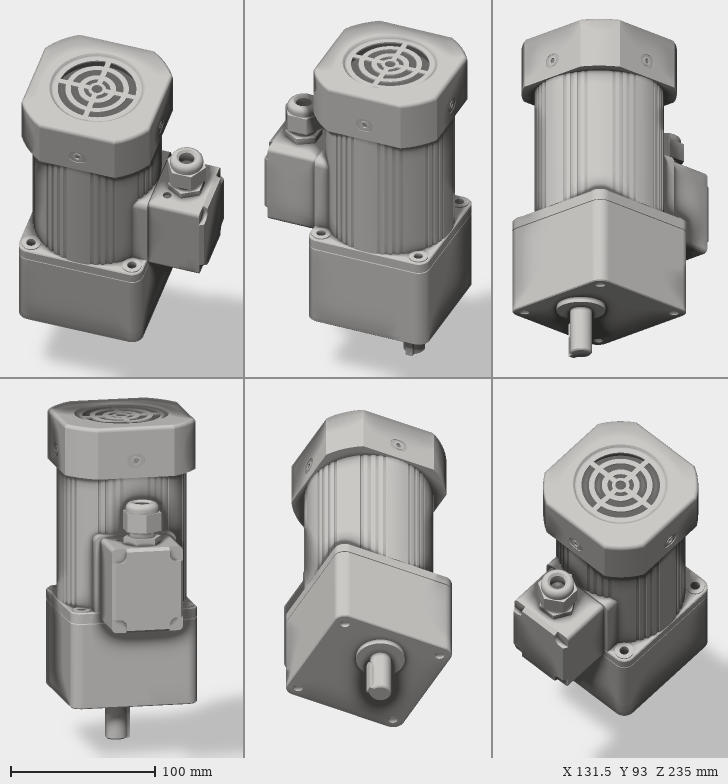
import cadquery as cq
import math


boss_bottom = 32.0
gearbox_bottom = 35.7
gearbox_top = 96.5
flange_top = 104.0
cover_bottom = 199.0
cover_top = 235.0

frame_width = 90.0
frame_corner_radius = 8.0
frame_chamfer = 0.7
bolt_offset = 36.7
bolt_hole_diameter = 6.5

shaft_x = -18.0
shaft_radius = 7.5
shaft_chamfer = 1.0
shaft_bore_depth = 11.8
boss_radius = 17.0
key_length = 25.4
key_width = 5.2
key_outer_y = 9.6

motor_radius = frame_width / 2
groove_clusters = 8
grooves_per_cluster = 4
groove_pitch_angle = 6.7
groove_width = 2.4
groove_depth = 0.7
pad_radius = 6.5
pad_height = 1.0
saddle_width = 57.3
saddle_top = 158.6
saddle_end_x = motor_radius
saddle_edge_radius = 5.0

cover_width = 93.0
cover_flat_width = 54.5
cover_edge_radius = 2.8
grille_radius = 31.7
grille_depth = 1.5
grille_thickness = 1.2
fan_chamber_radius = 30.5
fan_chamber_depth = 7.5
slot_rings = [(6.0, 9.2), (13.2, 18.3), (22.0, 27.3)]
spoke_width = 3.8
hub_hole_radius = 3.8

screw_z = 211.0
screw_pocket_length = 12.7
screw_pocket_width = 9.9
screw_pocket_depth = 0.5
screw_head_diameter = 6.8
screw_socket_size = 4.2
screw_socket_depth = 1.5

box_width = 50.3
box_bottom = 97.3
box_top = 157.0
box_height = box_top - box_bottom
box_middle_z = (box_top + box_bottom) / 2
box_edge_radius = 3.0
lid_inner_x = 81.8
lid_outer_x = 85.0
lid_bevel = 1.9
lid_notch_size = 9.9
lid_notch_radius = 5.0
box_hole_x = 55.0
box_hole_y = -13.0
box_hole_radius = 3.0
box_hole_depth = 2.8

gland_x = 65.0
gland_base_flats = 22.8
gland_base_top = 161.7
gland_neck_radius = 9.0
gland_nut_bottom = 166.4
gland_nut_top = 179.3
gland_nut_corners = 28.0
gland_cap_radius = 11.5
gland_cap_top = 186.0
gland_cap_rounding = 4.0
gland_hole_radius = 5.5
gland_hole_chamfer = 1.6
gland_hole_depth = 9.5


def cylinder(x, y, bottom, top, radius):
    return cq.Workplane("XY", origin=(x, y, bottom)).circle(radius).extrude(top - bottom)


def frame_block(bottom, top):
    block = cq.Workplane("XY", origin=(0, 0, bottom)).rect(frame_width, frame_width)
    return block.extrude(top - bottom).edges("|Z").fillet(frame_corner_radius)


def at_bolts(height):
    spacing = 2 * bolt_offset
    return cq.Workplane("XY", origin=(0, 0, height)).rect(spacing, spacing, forConstruction=True).vertices()


def bolt_holes():
    return at_bolts(gearbox_bottom).circle(bolt_hole_diameter / 2).extrude(cover_bottom - gearbox_bottom)


def make_shaft():
    """Output shaft with a key that is rounded at its inner end and runs out at the tip."""
    shaft = cylinder(shaft_x, 0, 0, boss_bottom + shaft_bore_depth, shaft_radius)
    shaft = shaft.faces("<Z").chamfer(shaft_chamfer)
    key_radius = key_width / 2
    straight_length = key_length - key_radius
    key = (
        cq.Workplane("XZ", origin=(shaft_x, key_outer_y, 0))
        .moveTo(-key_radius, 0)
        .lineTo(-key_radius, straight_length)
        .threePointArc((0, key_length), (key_radius, straight_length))
        .lineTo(key_radius, 0)
        .close()
        .extrude(key_outer_y)
    )
    return shaft.union(key)


def make_gearbox():
    body = frame_block(gearbox_bottom, gearbox_top).faces("<Z or >Z").chamfer(frame_chamfer)
    boss = cylinder(shaft_x, 0, boss_bottom, gearbox_top - frame_chamfer, boss_radius)
    bore = cylinder(shaft_x, 0, boss_bottom, boss_bottom + shaft_bore_depth, shaft_radius)
    return body.union(boss).cut(bore).cut(bolt_holes())


def make_ribbed_barrel():
    """Round housing with clusters of straight grooves that stop at the flange."""
    barrel = cylinder(0, 0, flange_top, cover_bottom, motor_radius)
    groove = (
        cq.Workplane("XY", origin=(motor_radius, 0, flange_top))
        .rect(2 * groove_depth, groove_width)
        .extrude(cover_bottom - flange_top)
    )
    cluster_angle = 360 / groove_clusters
    for cluster in range(groove_clusters):
        for place in range(grooves_per_cluster):
            step = place - (grooves_per_cluster - 1) / 2
            angle = (cluster + 0.5) * cluster_angle + step * groove_pitch_angle
            barrel = barrel.cut(groove.rotate((0, 0, 0), (0, 0, 1), angle))
    return barrel


def make_saddle():
    """Flat seat on the +X side of the barrel that carries the terminal box."""
    saddle = cq.Workplane("XY", origin=(saddle_end_x / 2, 0, flange_top)).rect(saddle_end_x, saddle_width)
    saddle = saddle.extrude(saddle_top - flange_top)
    return saddle.edges("|X and >Z").fillet(saddle_edge_radius)


def make_motor():
    flange = frame_block(gearbox_top, flange_top).faces(">Z").chamfer(frame_chamfer)
    pads = at_bolts(flange_top).circle(pad_radius).extrude(pad_height)
    flange = flange.union(pads).cut(bolt_holes())
    return flange.union(make_ribbed_barrel()).union(make_saddle())


def side_screw_recess():
    """Shallow pocket in the -Y side of the cover, around a flush round screw head with a hexagon socket."""
    side = cq.Workplane("XZ", origin=(0, -cover_width / 2, screw_z))
    pocket = side.slot2D(screw_pocket_length, screw_pocket_width).extrude(-screw_pocket_depth)
    head = side.circle(screw_head_diameter / 2).extrude(-screw_pocket_depth)
    socket = side.polygon(6, screw_socket_size).extrude(-screw_socket_depth)
    return pocket.cut(head).union(socket)


def grille_recess():
    """Shallow dish in the cover top, whose floor is a grille of ring slots over the fan chamber."""
    dish_floor = cover_top - grille_depth
    chamber_top = dish_floor - grille_thickness
    rim_radius = grille_radius + grille_depth
    dish = cq.Workplane("XY", origin=(0, 0, dish_floor)).circle(grille_radius)
    dish = dish.workplane(offset=grille_depth).circle(rim_radius).loft()
    chamber = cylinder(0, 0, chamber_top - fan_chamber_depth, chamber_top, fan_chamber_radius)
    spokes = cq.Workplane("XY", origin=(0, 0, chamber_top)).rect(2 * rim_radius, spoke_width)
    spokes = spokes.extrude(grille_thickness)
    spokes = spokes.union(spokes.rotate((0, 0, 0), (0, 0, 1), 90))
    recess = dish.union(chamber).union(cylinder(0, 0, chamber_top, dish_floor, hub_hole_radius))
    for inner_radius, outer_radius in slot_rings:
        ring = cylinder(0, 0, chamber_top, dish_floor, outer_radius)
        ring = ring.cut(cylinder(0, 0, chamber_top, dish_floor, inner_radius))
        recess = recess.union(ring.cut(spokes))
    return recess


def make_cover():
    """Fan cover: a square block whose corners are rounded about the motor axis."""
    corner_radius = math.hypot(cover_width / 2, cover_flat_width / 2)
    height = cover_top - cover_bottom
    cover = cq.Workplane("XY", origin=(0, 0, cover_bottom)).rect(cover_width, cover_width).extrude(height)
    cover = cover.intersect(cylinder(0, 0, cover_bottom, cover_top, corner_radius))
    cover = cover.faces(">Z").edges().fillet(cover_edge_radius)
    for side in range(4):
        cover = cover.cut(side_screw_recess().rotate((0, 0, 0), (0, 0, 1), 90 * side))
    return cover.cut(grille_recess())


def lid_corner_notches():
    """Square notches in the four corners of the lid, each with its inner corner rounded."""
    thickness = lid_outer_x - lid_inner_x
    lid_face = cq.Workplane("YZ", origin=(lid_inner_x, 0, box_middle_z))
    notches = lid_face.rect(box_width, box_height, forConstruction=True).vertices()
    notches = notches.rect(2 * lid_notch_size, 2 * lid_notch_size).extrude(thickness)
    return notches.edges("|X").fillet(lid_notch_radius)


def make_terminal_box():
    """Box with edges rounded along X, a bevelled lid on its outer end and a blind hole in its top."""
    box = cq.Workplane("YZ", origin=(saddle_end_x, 0, box_middle_z)).rect(box_width, box_height)
    box = box.extrude(lid_outer_x - saddle_end_x).edges("|X").fillet(box_edge_radius)
    box = box.faces(">X").chamfer(lid_outer_x - lid_inner_x, lid_bevel)
    hole = cylinder(box_hole_x, box_hole_y, box_top - box_hole_depth, box_top, box_hole_radius)
    return box.cut(lid_corner_notches()).cut(hole)


def make_gland():
    """Cable gland: hexagon base, neck, hexagon nut and a domed cap with a cable hole."""
    base_corners = gland_base_flats / math.cos(math.pi / 6)
    base = cq.Workplane("XY", origin=(gland_x, 0, box_top)).transformed(rotate=(0, 0, 30))
    base = base.polygon(6, base_corners).extrude(gland_base_top - box_top)
    neck = cylinder(gland_x, 0, box_top, gland_nut_top, gland_neck_radius)
    nut = cq.Workplane("XY", origin=(gland_x, 0, gland_nut_bottom)).polygon(6, gland_nut_corners)
    nut = nut.extrude(gland_nut_top - gland_nut_bottom)
    cap = cylinder(gland_x, 0, gland_nut_bottom, gland_cap_top, gland_cap_radius)
    cap = cap.faces(">Z").edges().fillet(gland_cap_rounding)
    gland = base.union(neck).union(nut).union(cap)
    hole = cylinder(gland_x, 0, gland_cap_top - gland_hole_depth, gland_cap_top, gland_hole_radius)
    mouth_bottom = gland_cap_top - gland_hole_chamfer
    mouth_radius = gland_hole_radius + gland_hole_chamfer
    mouth = cq.Workplane("XY", origin=(gland_x, 0, mouth_bottom)).circle(gland_hole_radius)
    mouth = mouth.workplane(offset=gland_hole_chamfer).circle(mouth_radius).loft()
    return gland.cut(hole).cut(mouth)


shaft = make_shaft()
gearbox = make_gearbox()
motor = make_motor()
cover = make_cover()
terminal_box = make_terminal_box()
gland = make_gland()

bodies = [shaft, gearbox, motor, cover, terminal_box, gland]
result = cq.Compound.makeCompound([body.solids().val() for body in bodies])